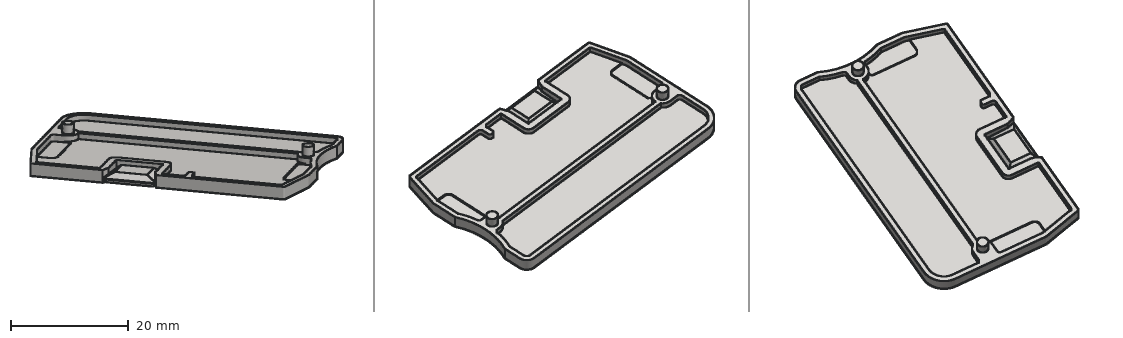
import cadquery as cq
length = 49.2
depth = 29.3
plate_height = 2.25
total_height = 4.0
half_length = length / 2
half_depth = depth / 2
back_left_radius = 4.0
back_right_radius = 1.7
taper_start_y = -7.1
taper_inset = 2.05
front_corner_radius = 0.3

bay_center_y = 3.7
bay_half_chord = 5.8
bay_sagitta = 1.3
bay_radius = (bay_half_chord**2 + bay_sagitta**2) / (2 * bay_sagitta)
bay_center_x = half_length - bay_sagitta + bay_radius

wall = 1.0
floor_z = 1.25
bridge_corner_radius = 0.5

post_x = 21.3
post_y = 3.5
post_radius = 1.0
boss_radius = 1.8
rib_y = 4.05
rib_width = 1.0

pad_inner_x = 20.05
pad_front_y = -7.8
pad_depth = 0.2
pad_front_radius = 1.0
pad_back_radius = 0.5

notch_center_x = -4.95
notch_width = 8.25
notch_mouth_width = 9.5
notch_back_y = -8.6
notch_flare_y = -13.15
notch_wall = 1.4
notch_wall_radius = 1.25

key_top_z = 1.8
key_top_width = 5.75
key_top_front_y = -13.7
key_top_back_y = -9.7
lip_bottom_z = 0.65
lip_top_z = 0.8
key_back_z = lip_top_z
lip_overhang = 0.4

tab_center_x = 5.15
tab_width = 1.1
tab_back_y = -11.4
tab_tip_radius = 0.3
tab_root_radius = 0.5


def box(x_min, x_max, y_min, y_max, z_min, z_max):
    size = (x_max - x_min, y_max - y_min, z_max - z_min)
    return cq.Workplane("XY").box(*size, centered=False).translate((x_min, y_min, z_min))


def cylinder(x, y, radius, z_min, z_max):
    return cq.Workplane("XY", origin=(x, y, z_min)).circle(radius).extrude(z_max - z_min)


def make_body():
    """Solid plate with its rounded corners and the bay in its right end."""
    front_x = half_length - taper_inset
    outline = [
        (-half_length, half_depth),
        (half_length, half_depth),
        (half_length, taper_start_y),
        (front_x, -half_depth),
        (-front_x, -half_depth),
        (-half_length, taper_start_y),
    ]
    body = cq.Workplane("XY").polyline(outline).close().extrude(plate_height)
    body = body.edges("|Z and <Y").fillet(front_corner_radius)
    body = body.edges("|Z and >Y and <X").fillet(back_left_radius)
    body = body.edges("|Z and >Y and >X").fillet(back_right_radius)
    return body.cut(cylinder(bay_center_x, bay_center_y, bay_radius, 0, plate_height))


def make_cavity(body, bottom_z):
    """Space inside the perimeter wall, from the given level up to the plate top."""
    outline = body.faces("<Z").wires().val()
    inner_outline = outline.offset2D(-wall)[0].translate(cq.Vector(0, 0, bottom_z))
    return cq.Workplane("XY").add(inner_outline).toPending().extrude(plate_height - bottom_z)


def make_crossbar():
    """Rib across the cavity with a boss joined to the wall at each end."""
    bar = box(-post_x, post_x, rib_y - rib_width / 2, rib_y + rib_width / 2, 0, plate_height)
    for side in (-1, 1):
        wall_x = side * half_length
        boss = cylinder(side * post_x, post_y, boss_radius, 0, plate_height)
        bridge = box(
            min(side * post_x, wall_x),
            max(side * post_x, wall_x),
            post_y - boss_radius,
            post_y + boss_radius,
            0,
            plate_height,
        )
        bar = bar.union(boss).union(bridge)
    return bar


def round_bridge_corners(cavity):
    """Round the cavity corners where the boss bridges meet the end walls."""
    reach = boss_radius + bridge_corner_radius
    for side in (-1, 1):
        low_x = min(side * (post_x + wall), side * half_length)
        high_x = max(side * (post_x + wall), side * half_length)
        near_bridge = cq.selectors.BoxSelector(
            (low_x, post_y - reach, 0), (high_x, post_y + reach, plate_height)
        )
        cavity = cavity.edges("|Z").edges(near_bridge).fillet(bridge_corner_radius)
    return cavity


def make_pad(side):
    """Cutter for the sunken pad at one end, rounded on its inner corners."""
    pad_back_y = post_y - boss_radius
    outer_x = side * half_length
    inner_x = side * pad_inner_x
    pad = box(min(inner_x, outer_x), max(inner_x, outer_x), pad_front_y, pad_back_y, 0, plate_height)
    inner_face = ">X" if side < 0 else "<X"
    pad = pad.edges(f"|Z and {inner_face} and <Y").fillet(pad_front_radius)
    return pad.edges(f"|Z and {inner_face} and >Y").fillet(pad_back_radius)


def make_notch():
    """Notch outline cut through the full plate height."""
    half_width = notch_width / 2
    half_mouth = notch_mouth_width / 2
    outline = [
        (-half_mouth, -half_depth),
        (-half_width, notch_flare_y),
        (-half_width, notch_back_y),
        (half_width, notch_back_y),
        (half_width, notch_flare_y),
        (half_mouth, -half_depth),
    ]
    notch = cq.Workplane("XY").polyline(outline).close().extrude(plate_height)
    return notch.translate((notch_center_x, 0, 0))


def make_notch_surround():
    """Wall that wraps round the notch inside the cavity."""
    half_width = notch_width / 2 + notch_wall
    surround = box(
        notch_center_x - half_width,
        notch_center_x + half_width,
        -half_depth,
        notch_back_y + notch_wall,
        0,
        plate_height,
    )
    return surround.edges("|Z and >Y").fillet(notch_wall_radius)


def make_key_corner_cutter(side):
    """Triangular prism that drops a sloping side of the key towards its back corner."""
    half_top = key_top_width / 2
    half_width = notch_width / 2
    side_slope = (key_top_z - lip_top_z) / (notch_mouth_width / 2 - half_top)
    flare_z = key_top_z - side_slope * (half_width - half_top)
    corners = [
        cq.Vector(side * half_top, key_top_back_y, key_top_z),
        cq.Vector(side * half_width, notch_back_y, key_back_z),
        cq.Vector(side * half_width, notch_flare_y, flare_z),
    ]
    triangle = cq.Wire.makePolygon(corners, close=True)
    return cq.Workplane(cq.Solid.extrudeLinear(triangle, [], cq.Vector(0, 0, key_top_z)))


def make_key():
    """Key shaped by its width profile and its side profile, trimmed to the notch."""
    undercut_front_y = -half_depth + lip_overhang
    half_mouth = notch_mouth_width / 2
    half_top = key_top_width / 2
    width_profile = [
        (-notch_width / 2, 0),
        (notch_width / 2, 0),
        (half_mouth, lip_bottom_z),
        (half_mouth, lip_top_z),
        (half_top, key_top_z),
        (-half_top, key_top_z),
        (-half_mouth, lip_top_z),
        (-half_mouth, lip_bottom_z),
    ]
    side_profile = [
        (undercut_front_y, 0),
        (notch_back_y, 0),
        (notch_back_y, key_back_z),
        (key_top_back_y, key_top_z),
        (key_top_front_y, key_top_z),
        (-half_depth, lip_top_z),
        (-half_depth, lip_bottom_z),
        (undercut_front_y, lip_bottom_z),
    ]
    across = cq.Workplane("XZ").polyline(width_profile).close().extrude(half_depth)
    along = cq.Workplane("YZ").polyline(side_profile).close().extrude(half_mouth, both=True)
    key = across.intersect(along)
    for side in (-1, 1):
        key = key.cut(make_key_corner_cutter(side))
    key = key.translate((notch_center_x, 0, 0))
    return key.intersect(make_notch())


def make_tab():
    """Tab with a rounded tip and rounded roots where it meets the front wall."""
    wall_y = -half_depth + wall
    half_width = tab_width / 2
    tab = (
        cq.Workplane("XY")
        .moveTo(-half_width - tab_root_radius, wall_y)
        .radiusArc((-half_width, wall_y + tab_root_radius), -tab_root_radius)
        .lineTo(-half_width, tab_back_y - tab_tip_radius)
        .radiusArc((-half_width + tab_tip_radius, tab_back_y), tab_tip_radius)
        .lineTo(half_width - tab_tip_radius, tab_back_y)
        .radiusArc((half_width, tab_back_y - tab_tip_radius), tab_tip_radius)
        .lineTo(half_width, wall_y + tab_root_radius)
        .radiusArc((half_width + tab_root_radius, wall_y), -tab_root_radius)
        .close()
        .extrude(plate_height)
    )
    return tab.translate((tab_center_x, 0, 0))


body = make_body()
standing = make_crossbar().union(make_notch_surround()).union(make_tab())
cavity = round_bridge_corners(make_cavity(body, floor_z).cut(standing))
result = body.cut(cavity)

pad_cavity = round_bridge_corners(make_cavity(body, floor_z - pad_depth).cut(standing))
for side in (-1, 1):
    result = result.cut(pad_cavity.intersect(make_pad(side)))

result = result.cut(make_notch()).union(make_key())

for side in (-1, 1):
    result = result.union(cylinder(side * post_x, post_y, post_radius, 0, total_height))